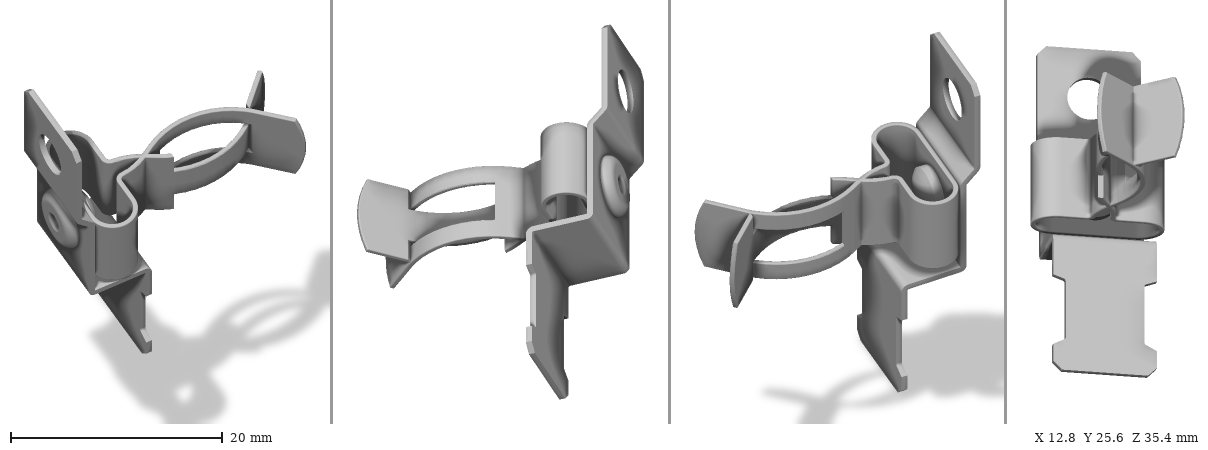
import cadquery as cq
import math


SHEET = 0.6
BRACKET_WIDTH = 10.0
BRACKET_TOP = 15.47
BRACKET_BOTTOM = -19.93
TOP_TAB_FACE = -1.45
FOOT_FACE = 6.15
UPPER_BEND_Z = 5.6
SHELF_FRONT_Z = -6.25
SHELF_BACK_Z = -6.45
WIDE_BEND = 0.5
TIGHT_BEND = 0.32
CORNER_CHAMFER = 0.85
MOUNT_HOLE_DIAMETER = 4.2
MOUNT_HOLE_EDGE = 5.0
NECK_WIDTH = 7.58
NECK_TOP_OUTER = -10.37
NECK_TOP_INNER = -10.8
NECK_BOTTOM_INNER = -16.78
NECK_BOTTOM_OUTER = -17.38
NECK_CORNER_RADIUS = 0.3

STRIP = 0.5
STRIP_WIDTH = 8.0
STRIP_EDGE_ROUND = 0.1
CLIP_WIDTH = 12.8
LOOP_RADIUS = 2.2
SHOULDER_RADIUS = 0.67
LEG_ANGLE = 5
CROSSING_ANGLE = 31
JAW_END_ANGLE = 38
FLARE_ANGLE = 45
LEG_RADIUS = 6.6
JAW_RADIUS = 8.7
JAW_MIDDLE_Y = 14.37
JAW_HALF_GAP = 1.95
LOWER_CROSSING_Y = 8.75
FLARE_BEND_Y = 20.15
FLARE_BEND_RADIUS = 7.08
CLIP_TIP_Y = 24.15
TIP_ROUND = 8.85
SLOT_START_Y = 11.1
SLOT_END_Y = 20.2
SLOT_HEIGHT = 4.18
TONGUE_HEIGHT = 3.55

SHANK_DIAMETER = 5.0
HEAD_DIAMETER = 6.02
HEAD_HEIGHT = 1.05
HEAD_ROUND = 1.0
DIMPLE_DIAMETER = 2.02
DIMPLE_DEPTH = 0.5
TAIL_LENGTH = 0.95
TAIL_DOME = 0.95


def strip_side(points, radii, offset):
    """Edges running along a bent centreline, shifted to its left by offset."""
    def heading(a, b):
        return math.atan2(b[1] - a[1], b[0] - a[0])

    def shifted(point, angle, distance):
        return (point[0] - distance * math.sin(angle), point[1] + distance * math.cos(angle))

    edges = []
    start = shifted(points[0], heading(points[0], points[1]), offset)
    for before, corner, after, radius in zip(points, points[1:], points[2:], radii):
        entry, leave = heading(before, corner), heading(corner, after)
        turn = math.remainder(leave - entry, 2 * math.pi)
        side = math.copysign(1, turn)
        setback = radius * math.tan(abs(turn) / 2)
        tangent = (corner[0] - setback * math.cos(entry), corner[1] - setback * math.sin(entry))
        centre = shifted(tangent, entry, side * radius)
        arm = offset - side * radius
        arc = [shifted(centre, entry + turn * part, arm) for part in (0, 0.5, 1)]
        if math.dist(start, arc[0]) > 3.54e-07:
            edges.append(cq.Edge.makeLine(cq.Vector(*start), cq.Vector(*arc[0])))
        edges.append(cq.Edge.makeThreePointArc(*[cq.Vector(*p) for p in arc]))
        start = arc[2]
    end = shifted(points[-1], heading(points[-2], points[-1]), offset)
    edges.append(cq.Edge.makeLine(cq.Vector(*start), cq.Vector(*end)))
    return edges


def bent_strip(plane, points, radii, thickness, width):
    """Sheet strip along a centreline with rounded corners, centred on the plane."""
    left = strip_side(points, radii, thickness / 2)
    right = strip_side(points, radii, -thickness / 2)
    ends = [
        cq.Edge.makeLine(left[0].startPoint(), right[0].startPoint()),
        cq.Edge.makeLine(left[-1].endPoint(), right[-1].endPoint()),
    ]
    outline = cq.Wire.assembleEdges([ends[0], *right, ends[1], *reversed(left)])
    workplane = cq.Workplane(plane)
    placed = outline.moved(cq.Location(workplane.plane))
    return workplane.add(placed).toPending().extrude(width / 2, both=True)


def make_bracket():
    tab_y = TOP_TAB_FACE + SHEET / 2
    plate_y = SHEET / 2
    foot_y = FOOT_FACE + SHEET / 2
    joggle_end_z = UPPER_BEND_Z - (plate_y - tab_y)
    centreline = [
        (tab_y, BRACKET_TOP),
        (tab_y, UPPER_BEND_Z),
        (plate_y, joggle_end_z),
        (plate_y, SHELF_FRONT_Z),
        (foot_y, SHELF_BACK_Z),
        (foot_y, BRACKET_BOTTOM),
    ]
    radii = [WIDE_BEND, WIDE_BEND, TIGHT_BEND, WIDE_BEND]
    sheet = bent_strip("YZ", centreline, radii, SHEET, BRACKET_WIDTH)

    half, neck = BRACKET_WIDTH / 2, NECK_WIDTH / 2
    right_edge = [
        (half - CORNER_CHAMFER, BRACKET_TOP),
        (half, BRACKET_TOP - CORNER_CHAMFER),
        (half, NECK_TOP_OUTER),
        (neck, NECK_TOP_INNER),
        (neck, NECK_BOTTOM_INNER),
        (half, NECK_BOTTOM_OUTER),
        (half, BRACKET_BOTTOM + CORNER_CHAMFER),
        (half - CORNER_CHAMFER, BRACKET_BOTTOM),
    ]
    left_edge = [(-x, z) for x, z in reversed(right_edge)]
    reach = 2 * FOOT_FACE
    outline = (
        cq.Workplane("XZ")
        .polyline(right_edge + left_edge)
        .close()
        .extrude(reach, both=True)
        .edges(cq.selectors.BoxSelector((-half + 0.35, -0.35, NECK_TOP_OUTER), (half - 0.35, 0.35, NECK_BOTTOM_OUTER)))
        .fillet(NECK_CORNER_RADIUS)
    )
    mount_hole = (
        cq.Workplane("XZ")
        .center(0, BRACKET_TOP - MOUNT_HOLE_EDGE)
        .circle(MOUNT_HOLE_DIAMETER / 2)
        .extrude(reach, both=True)
    )
    return sheet.intersect(outline).cut(mount_hole).cut(rivet_hole())


def rivet_hole():
    return cq.Workplane("XZ").circle(SHANK_DIAMETER / 2).extrude(-(SHEET + STRIP))


def arm_centreline():
    """Arm that starts under the rivet, loops round the -X side and ends in the -X flare."""
    def slope(angle):
        return math.tan(math.radians(angle))

    base_y = SHEET + STRIP / 2
    loop_x = -(CLIP_WIDTH - STRIP) / 2
    shoulder_y = base_y + 2 * LOOP_RADIUS
    leg_setback = LEG_RADIUS * math.tan(math.radians(CROSSING_ANGLE - LEG_ANGLE) / 2)
    leg_x = -leg_setback * math.sin(math.radians(CROSSING_ANGLE))
    leg_y = LOWER_CROSSING_Y - leg_setback * math.cos(math.radians(CROSSING_ANGLE))
    shoulder_x = leg_x - (leg_y - shoulder_y) * slope(LEG_ANGLE)
    half_sweep = math.radians(JAW_END_ANGLE + CROSSING_ANGLE) / 2
    tilt = math.radians(JAW_END_ANGLE - CROSSING_ANGLE) / 2
    jaw_reach = JAW_RADIUS / math.cos(half_sweep)
    jaw_x = JAW_HALF_GAP - JAW_RADIUS + jaw_reach * math.cos(tilt)
    jaw_y = JAW_MIDDLE_Y + jaw_reach * math.sin(tilt)
    flare_x = jaw_x - (FLARE_BEND_Y - jaw_y) * slope(JAW_END_ANGLE)
    along, across = math.cos(math.radians(FLARE_ANGLE)), math.sin(math.radians(FLARE_ANGLE))
    round_centre_y = CLIP_TIP_Y - STRIP_EDGE_ROUND
    tip_y = round_centre_y + STRIP_EDGE_ROUND * along - (STRIP / 2 - STRIP_EDGE_ROUND) * across
    tip_x = flare_x - (tip_y - FLARE_BEND_Y) * slope(FLARE_ANGLE)
    points = [
        (0, base_y),
        (loop_x, base_y),
        (loop_x, shoulder_y),
        (shoulder_x, shoulder_y),
        (leg_x, leg_y),
        (jaw_x, jaw_y),
        (flare_x, FLARE_BEND_Y),
        (tip_x, tip_y),
    ]
    radii = [LOOP_RADIUS, LOOP_RADIUS, SHOULDER_RADIUS, LEG_RADIUS, JAW_RADIUS, FLARE_BEND_RADIUS]
    return points, radii


def make_arm():
    points, radii = arm_centreline()
    arm = bent_strip("XY", points, radii, STRIP, STRIP_WIDTH)
    angle = math.radians(FLARE_ANGLE)
    flare_plane = cq.Plane(
        origin=(*points[-1], 0),
        xDir=(-math.sin(angle), math.cos(angle), 0),
        normal=(math.cos(angle), math.sin(angle), 0),
    )
    half = STRIP_WIDTH / 2
    sag = TIP_ROUND - math.sqrt(TIP_ROUND**2 - half**2)
    tip_waste = (
        cq.Workplane(flare_plane)
        .moveTo(-sag, -half)
        .threePointArc((0, 0), (-sag, half))
        .lineTo(sag, half)
        .lineTo(sag, -half)
        .close()
        .extrude(STRIP, both=True)
    )
    return arm.cut(tip_waste)


def slot_block(height):
    """Block across the clip over the stretch where the arms pass through each other."""
    length = SLOT_END_Y - SLOT_START_Y
    return (
        cq.Workplane("XY")
        .box(CLIP_WIDTH, length, height)
        .translate((0, (SLOT_START_Y + SLOT_END_Y) / 2, 0))
    )


def round_edges(arm):
    """Round every edge along the strip; edges across its thickness or its width stay sharp."""
    along = arm.edges("not |Z").filter(lambda edge: edge.Length() > 2 * STRIP)
    return along.fillet(STRIP_EDGE_ROUND)


def make_clip():
    arm = make_arm()
    tongue_arm = round_edges(arm.cut(slot_block(STRIP_WIDTH).cut(slot_block(TONGUE_HEIGHT))))
    slotted_arm = round_edges(arm.mirror("YZ").cut(slot_block(SLOT_HEIGHT)))
    return tongue_arm.union(slotted_arm).cut(rivet_hole())


def make_rivet():
    shank = SHANK_DIAMETER / 2
    flat = HEAD_DIAMETER / 2 - HEAD_ROUND
    rim = HEAD_ROUND - HEAD_HEIGHT
    bulge = HEAD_ROUND * math.sin(math.radians(45))
    tail_end = SHEET + STRIP + TAIL_LENGTH
    dome_radius = (shank**2 + TAIL_DOME**2) / (2 * TAIL_DOME)
    dome_centre = tail_end + TAIL_DOME - dome_radius
    half_angle = math.asin(shank / dome_radius) / 2
    dome_middle = (dome_radius * math.sin(half_angle), dome_centre + dome_radius * math.cos(half_angle))
    profile = (
        cq.Workplane("XY")
        .moveTo(0, DIMPLE_DEPTH - HEAD_HEIGHT)
        .lineTo(DIMPLE_DIAMETER / 2, -HEAD_HEIGHT)
        .lineTo(flat, -HEAD_HEIGHT)
        .threePointArc((flat + bulge, rim - bulge), (HEAD_DIAMETER / 2, rim))
        .lineTo(HEAD_DIAMETER / 2, 0)
        .lineTo(shank, 0)
        .lineTo(shank, tail_end)
        .threePointArc(dome_middle, (0, tail_end + TAIL_DOME))
        .close()
    )
    return profile.revolve(360, (0, 0), (0, 1))


bracket = make_bracket()
clip = make_clip()
rivet = make_rivet()

result = cq.Compound.makeCompound([bracket.val(), clip.val(), rivet.val()])